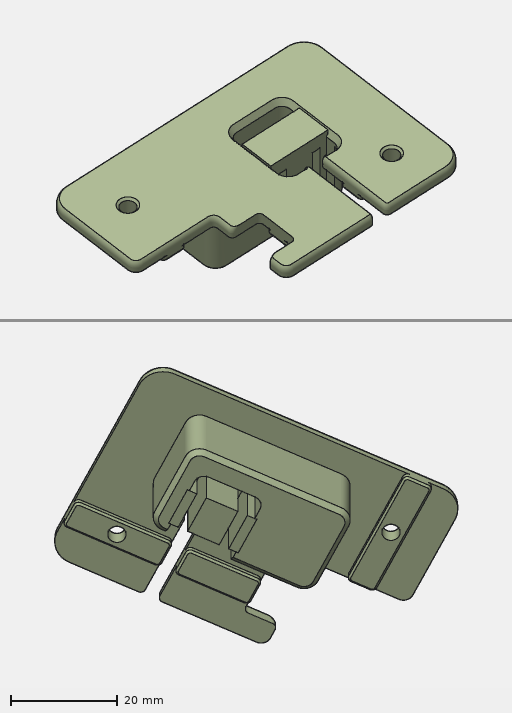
import cadquery as cq
import math

plate_width = 45.0
plate_length = 66.0
plate_thickness = 2.6
narrow_width = 25.0
arm_bottom_y = 20.0
large_corner_radius = 4.95
medium_corner_radius = 2.0
small_corner_radius = 1.0

rim_depth = 1.4
rim_radius = 2.0
rim_inset = rim_radius - math.sqrt(rim_radius**2 - rim_depth**2)
cutter_margin = 0.3

window_center_x = 18.3
window_center_y = 44.15
window_width = 16.4
window_length = 13.65
window_corner_radius = 2.0
bevel_inset = 0.85
bevel_depth = 1.5
bevel_angle = math.degrees(math.atan(bevel_inset / bevel_depth))

gap_width = 3.05
gap_edge_y = (window_center_y - gap_width / 2, window_center_y + gap_width / 2)
gap_inner_x = window_center_x + window_width / 2

notch_left_x = 30.0
notch_width = 10.0
notch_depth = 7.05
notch_right_x = notch_left_x + notch_width
notch_back_y = arm_bottom_y + notch_depth

hole_diameter = 3.4
countersink_diameter = 4.4
rear_hole = (35.0, 56.05)
front_hole = (12.0, 9.95)
rib_width = 5.9
rib_height = 1.45
rib_chamfer = 0.43

total_height = 16.6
box_left_x = 5.55
box_front_y = 20.5
box_width = 19.0
box_length = 34.1
box_corner_radius = 3.0
box_chamfer = 1.0

bar_width = 8.0
bar_length = 14.5
slot_width = 2.0
slot_spacing = 8.6
slot_roof_depth = 3.4


def block(x_range, y_range, z_range):
    """Axis-aligned box between the given limits."""
    return cq.Workplane("XY").box(
        x_range[1] - x_range[0], y_range[1] - y_range[0], z_range[1] - z_range[0], centered=False
    ).translate((x_range[0], y_range[0], z_range[0]))


def fillet_corner(body, x, y, radius):
    """Round the vertical edge that stands at (x, y)."""
    reach = 0.05
    near = cq.selectors.BoxSelector(
        (x - reach, y - reach, -total_height), (x + reach, y + reach, total_height)
    )
    return body.edges("|Z").edges(near).fillet(radius)


def rounded_path(start, corners, end):
    """Open path along right-angled corners (x, y, radius), rounded, without its first and last straight."""
    points = [cq.Vector(*start)] + [cq.Vector(x, y) for x, y, _ in corners] + [cq.Vector(*end)]
    path = cq.Workplane("XY")
    for index, (_, _, radius) in enumerate(corners):
        corner = points[index + 1]
        back = (points[index] - corner).normalized()
        ahead = (points[index + 2] - corner).normalized()
        arc_start = corner + back * radius
        arc_middle = corner + (back + ahead) * (radius * (1 - math.sqrt(0.5)))
        arc_end = corner + ahead * radius
        if index == 0:
            path = path.moveTo(arc_start.x, arc_start.y)
        else:
            path = path.lineTo(arc_start.x, arc_start.y)
        path = path.threePointArc(arc_middle.toTuple()[:2], arc_end.toTuple()[:2])
    return path


def outline_path():
    """Outer edge of the plate, from the gap's rear mouth in the window round to its front mouth."""
    front_gap_y, rear_gap_y = gap_edge_y
    corners = [
        (gap_inner_x, rear_gap_y, small_corner_radius),
        (plate_width, rear_gap_y, small_corner_radius),
        (plate_width, plate_length, large_corner_radius),
        (0, plate_length, large_corner_radius),
        (0, 0, large_corner_radius),
        (narrow_width, 0, medium_corner_radius),
        (narrow_width, arm_bottom_y, small_corner_radius),
        (plate_width, arm_bottom_y, medium_corner_radius),
        (plate_width, front_gap_y, small_corner_radius),
        (gap_inner_x, front_gap_y, small_corner_radius),
    ]
    rear_wall_end = (gap_inner_x, window_center_y + window_length / 2)
    front_wall_end = (gap_inner_x, window_center_y - window_length / 2)
    return rounded_path(rear_wall_end, corners, front_wall_end)


def rim_cutter():
    """Sliver between the rounded rim and the sharp top edge, swept along the outline."""
    start_y = gap_edge_y[1] + small_corner_radius
    middle_angle = math.asin(rim_depth / rim_radius) / 2
    arc_middle = (
        rim_radius * (1 - math.cos(middle_angle)),
        rim_radius * math.sin(middle_angle) - rim_depth,
    )
    profile = (
        cq.Workplane("XZ", origin=(gap_inner_x, start_y, 0))
        .moveTo(0, -rim_depth)
        .threePointArc(arc_middle, (rim_inset, 0))
        .lineTo(rim_inset, cutter_margin)
        .lineTo(-cutter_margin, cutter_margin)
        .lineTo(-cutter_margin, -rim_depth)
        .close()
    )
    return profile.sweep(outline_path().wire())


def notch_cutter():
    """Notch with rounded back corners."""
    notch = block(
        (notch_left_x, notch_right_x),
        (arm_bottom_y - cutter_margin, notch_back_y),
        (-total_height, cutter_margin),
    )
    return notch.edges("|Z and >Y").fillet(small_corner_radius)


def plate_blank():
    """Flat plate with rounded rim, notch and entry gap."""
    plate = outline_path().close().extrude(-plate_thickness).cut(rim_cutter()).cut(notch_cutter())
    for x in (notch_left_x, notch_right_x):
        plate = fillet_corner(plate, x, arm_bottom_y, small_corner_radius)
    return plate


def rib(x_range, y_range):
    """Raised strip on the underside, with rounded corners and a chamfered lower edge."""
    strip = block(x_range, y_range, (-plate_thickness - rib_height, -plate_thickness))
    return strip.edges("|Z").fillet(small_corner_radius).faces("<Z").edges().chamfer(rib_chamfer)


def ribs():
    """One rib across the narrow end, and one along Y that the gap splits in two."""
    half = rib_width / 2
    across = (front_hole[1] - half, front_hole[1] + half)
    along = (rear_hole[0] - half, rear_hole[0] + half)
    return [
        rib((0, narrow_width), across),
        rib(along, (notch_back_y, gap_edge_y[0])),
        rib(along, (gap_edge_y[1], plate_length)),
    ]


def lower_box():
    """Solid box under the plate, before the window is cut through it."""
    body = block(
        (box_left_x, box_left_x + box_width),
        (box_front_y, box_front_y + box_length),
        (-total_height, -plate_thickness),
    )
    return body.edges("|Z").fillet(box_corner_radius).faces("<Z").edges().chamfer(box_chamfer)


def window_cutter():
    """Rounded window through plate and box, widening towards the top face except at the gap."""
    def window(width, length, corner_radius):
        outline = cq.Sketch().rect(width, length).vertices().fillet(corner_radius)
        return cq.Workplane("XY").center(window_center_x, window_center_y).placeSketch(outline)

    straight = window(window_width, window_length, window_corner_radius).extrude(-total_height)
    bevel = window(
        window_width + 2 * bevel_inset,
        window_length + 2 * bevel_inset,
        window_corner_radius + bevel_inset,
    ).extrude(-bevel_depth, taper=bevel_angle)
    gap_mouth = block(
        (gap_inner_x, plate_width),
        (gap_edge_y[0] - small_corner_radius, gap_edge_y[1] + small_corner_radius),
        (-total_height, cutter_margin),
    )
    return straight.union(bevel.cut(gap_mouth))


def screw_hole(center):
    """Countersunk hole through plate and rib."""
    countersink_depth = (countersink_diameter - hole_diameter) / 2
    sink = cq.Solid.makeCone(
        hole_diameter / 2,
        countersink_diameter / 2,
        countersink_depth,
        pnt=cq.Vector(*center, -countersink_depth),
    )
    shank = cq.Workplane("XY").center(*center).circle(hole_diameter / 2).extrude(-total_height)
    return shank.union(cq.Workplane(sink))


def bar_blank():
    """Plain block that spans the window and enters its end walls."""
    return block(
        (window_center_x - bar_width / 2, window_center_x + bar_width / 2),
        (window_center_y - bar_length / 2, window_center_y + bar_length / 2),
        (-total_height, 0),
    )


def make_housing():
    """Plate, ribs and box as one body, with a recess for the bar in the window walls."""
    body = plate_blank().union(lower_box())
    for strip in ribs():
        body = body.union(strip)
    body = body.cut(window_cutter())
    for center in (rear_hole, front_hole):
        body = body.cut(screw_hole(center))
    return body.cut(bar_blank())


def make_bar():
    """Bar across the window, with two slots running through it along X."""
    body = bar_blank()
    for side in (-1, 1):
        slot_y = window_center_y + side * slot_spacing / 2
        body = body.cut(block(
            (window_center_x - bar_width / 2, window_center_x + bar_width / 2),
            (slot_y - slot_width / 2, slot_y + slot_width / 2),
            (-total_height, -slot_roof_depth),
        ))
    return body


housing = make_housing()
bar = make_bar()
result = cq.Compound.makeCompound([housing.val(), bar.val()])